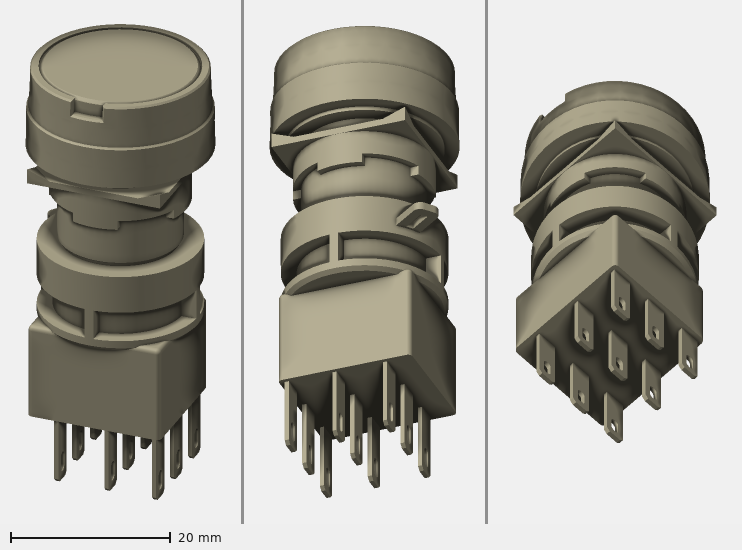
import cadquery as cq
import math


top_z = 56.0
face_top_dia = 19.45
face_bottom_dia = 20.15
groove_dia = 20.5
groove_depth = 0.35
rim_top_dia = 22.6
rim_bottom_dia = 23.1
rim_edge_chamfer = 0.2
shelf_z = 50.45
shelf_height = 0.2
skirt_top_dia = 23.65
skirt_bottom_dia = 23.8
skirt_bottom_z = 44.9

notch_width = 4.1
notch_floor_z = 54.0

gasket_dia = 20.05
gasket_bottom_z = 44.4
neck_dia = 15.9
neck_bottom_z = 32.1
neck_chamfer = 0.15
throat_dia = 15.1

washer_side = 18.0
washer_bottom_z = 41.95
washer_face_z = 42.8
washer_corner_z = 43.9
corner_start = 6.0

nut_dia = 17.9
nut_bottom_z = 37.45
nut_notch_top_z = 38.7
nut_tooth_width = 6.0

collar_dia = 21.0
collar_top_z = 31.6
collar_bottom_z = 21.0
collar_chamfer = 0.5
window_top_z = 26.55
window_bottom_z = 22.5
window_core_dia = 17.0
rib_width = 1.2

housing_width = 17.9
housing_depth = 15.9
housing_center_y = -1.0
housing_top_z = 21.7
housing_bottom_z = 9.0
housing_edge_radius = 0.6

terminal_columns_x = (-5.25, 1.5, 7.95)
terminal_row_pitch = 6.0
terminal_rows_y = [housing_center_y + step * terminal_row_pitch for step in (-1, 0, 1)]
terminal_width = 2.8
terminal_thickness = 0.55
terminal_chamfer = 0.5
eye_width = 1.2
eye_length = 2.65
eye_center_z = 2.4

tab_angle = 143.0
tab_tip_radius = 15.55
tab_width = 3.5
tab_thickness = 1.0
tab_bottom_z = 27.7
tab_corner_radius = 1.0
tab_slot_width = 1.0
tab_slot_outer_radius = 14.2
tab_slot_length = 3.35


def disc(dia, bottom_z, top):
    """Upright cylinder on the switch axis."""
    return cq.Workplane("XY", origin=(0, 0, bottom_z)).circle(dia / 2).extrude(top - bottom_z)


def tapered_disc(bottom_dia, top_dia, bottom_z, top):
    """Upright cone frustum on the switch axis."""
    base_center = cq.Vector(0, 0, bottom_z)
    return cq.Workplane(cq.Solid.makeCone(bottom_dia / 2, top_dia / 2, top - bottom_z, base_center))


def block(size_x, size_y, bottom_z, top, center=(0, 0)):
    """Upright box centred on the given X, Y point."""
    origin = (center[0], center[1], bottom_z)
    return cq.Workplane("XY", origin=origin).rect(size_x, size_y).extrude(top - bottom_z)


def make_rim():
    """Tapered rim with a notch at -Y, chamfered along its outer edge and around the notch."""
    rim = tapered_disc(rim_bottom_dia, rim_top_dia, shelf_z, top_z)
    notch = block(notch_width, rim_bottom_dia / 2, notch_floor_z, top_z, (0, -rim_bottom_dia / 4))
    rim = rim.cut(notch.cut(disc(groove_dia, shelf_z, top_z)))
    edge_zone = cq.selectors.BoxSelector(
        (-rim_bottom_dia, -rim_bottom_dia, notch_floor_z - rim_edge_chamfer),
        (rim_bottom_dia, rim_bottom_dia, top_z + rim_edge_chamfer),
    )
    return rim.faces("%CONE").edges(edge_zone).chamfer(rim_edge_chamfer)


def make_face_groove():
    """Ring groove around the centre face, sloped on its inner side."""
    groove_floor_z = top_z - groove_depth
    face = tapered_disc(face_bottom_dia, face_top_dia, groove_floor_z, top_z)
    return disc(groove_dia, groove_floor_z, top_z).cut(face)


def make_cap():
    skirt_top_z = shelf_z - shelf_height
    skirt = tapered_disc(skirt_bottom_dia, skirt_top_dia, skirt_bottom_z, skirt_top_z)
    shelf = tapered_disc(skirt_top_dia, rim_bottom_dia, skirt_top_z, shelf_z)
    return skirt.union(shelf).union(make_rim()).cut(make_face_groove())


def make_neck():
    neck = disc(neck_dia, neck_bottom_z, gasket_bottom_z).faces("<Z").chamfer(neck_chamfer)
    gasket = disc(gasket_dia, gasket_bottom_z, skirt_bottom_z)
    throat = disc(throat_dia, collar_top_z, neck_bottom_z)
    return neck.union(gasket).union(throat)


def make_collar():
    """Collar with four windows, separated by ribs along the X and Y axes."""
    collar = disc(collar_dia, collar_bottom_z, collar_top_z).faces("<Z").chamfer(collar_chamfer)
    windows = disc(collar_dia, window_bottom_z, window_top_z)
    windows = windows.cut(disc(window_core_dia, window_bottom_z, window_top_z))
    windows = windows.cut(block(collar_dia, rib_width, window_bottom_z, window_top_z))
    windows = windows.cut(block(rib_width, collar_dia, window_bottom_z, window_top_z))
    return collar.cut(windows)


def make_tab():
    """Flat radial tab with rounded tip corners and a rectangular slot, rooted in the collar."""
    root_radius = window_core_dia / 2
    tab = (
        cq.Workplane("XY", origin=(0, 0, tab_bottom_z))
        .center((root_radius + tab_tip_radius) / 2, 0)
        .rect(tab_tip_radius - root_radius, tab_width)
        .extrude(tab_thickness)
        .edges("|Z and >X").fillet(tab_corner_radius)
    )
    slot_center = (tab_slot_outer_radius - tab_slot_length / 2, 0)
    slot = block(tab_slot_length, tab_slot_width, tab_bottom_z, tab_bottom_z + tab_thickness, slot_center)
    return tab.cut(slot).rotate((0, 0, 0), (0, 0, 1), tab_angle)


def make_housing():
    housing = block(housing_width, housing_depth, housing_bottom_z, housing_top_z, (0, housing_center_y))
    return housing.edges("|Z or >Z").fillet(housing_edge_radius)


def make_terminal(x, y):
    """Flat terminal in a YZ plane, with chamfered lower corners and an oblong eye."""
    terminal = block(terminal_thickness, terminal_width, 0, housing_bottom_z, (x, y))
    terminal = terminal.edges("|X and <Z").chamfer(terminal_chamfer)
    eye = (
        cq.Workplane("YZ", origin=(x, y, eye_center_z))
        .slot2D(eye_length, eye_width, 90)
        .extrude(terminal_thickness, both=True)
    )
    return terminal.cut(eye)


def make_switch_unit():
    unit = make_cap().union(make_neck()).union(make_collar()).union(make_tab()).union(make_housing())
    for x in terminal_columns_x:
        for y in terminal_rows_y:
            unit = unit.union(make_terminal(x, y))
    return unit


def make_locking_washer():
    """Square washer whose four corners rise as slopes facing the axis."""
    half_side = washer_side / 2
    slope_start = (corner_start + half_side) / math.sqrt(2)
    corner_reach = half_side * math.sqrt(2)
    trough = (
        cq.Workplane("XZ")
        .moveTo(-slope_start, washer_face_z)
        .lineTo(slope_start, washer_face_z)
        .lineTo(corner_reach, washer_corner_z)
        .lineTo(-corner_reach, washer_corner_z)
        .close()
        .extrude(washer_side, both=True)
        .rotate((0, 0, 0), (0, 0, 1), 45)
    )
    recess = trough.intersect(trough.rotate((0, 0, 0), (0, 0, 1), 90))
    washer = block(washer_side, washer_side, washer_bottom_z, washer_corner_z).cut(recess)
    return washer.cut(disc(neck_dia, washer_bottom_z, washer_corner_z))


def make_ring_nut():
    """Ring nut with four notches on its underside, leaving teeth along the X and Y axes."""
    nut = disc(nut_dia, nut_bottom_z, washer_bottom_z)
    notches = disc(nut_dia, nut_bottom_z, nut_notch_top_z)
    notches = notches.cut(block(nut_dia, nut_tooth_width, nut_bottom_z, nut_notch_top_z))
    notches = notches.cut(block(nut_tooth_width, nut_dia, nut_bottom_z, nut_notch_top_z))
    return nut.cut(notches).cut(disc(neck_dia, nut_bottom_z, washer_bottom_z))


switch_unit = make_switch_unit()
locking_washer = make_locking_washer()
ring_nut = make_ring_nut()

result = cq.Compound.makeCompound([switch_unit.val(), locking_washer.val(), ring_nut.val()])